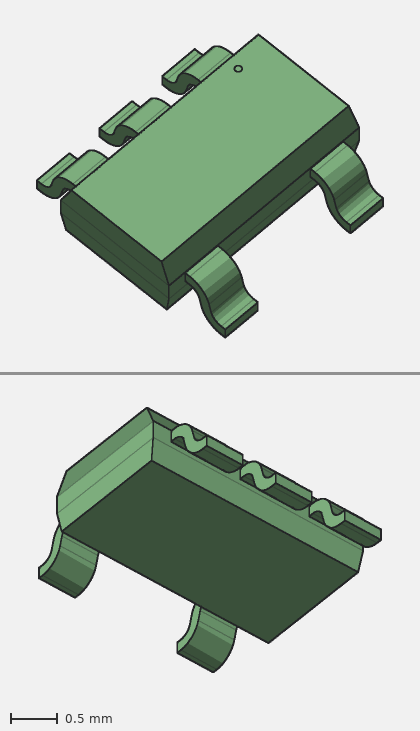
import cadquery as cq
import math


body_length = 2.9
body_width = 1.61
band_bottom_z = 0.38
band_top_z = 0.612
body_bottom_z = 0.102
body_top_z = 0.9
top_inset_x = 0.133
bottom_inset_x = 0.055
end_inset_y = 0.023

tip_span = 2.8
lead_width = 0.5
lead_thickness = 0.148
lead_height = 0.6
lead_pitch = 0.955
flat_length = 0.065
left_lead_rows = (-1, 0, 1)
right_lead_rows = (-1, 1)

marker_diameter = 0.08
marker_depth = 0.02
marker_x = -0.51
marker_y = lead_pitch

bend_z = lead_height / 2
outer_radius = bend_z
inner_radius = outer_radius - lead_thickness
shoulder_x = body_width / 2 + flat_length
foot_x = tip_span / 2 - flat_length
shank_tilt = math.acos((outer_radius + inner_radius) / (foot_x - shoulder_x))


def frustum(start_z, end_z, inset_x, inset_y):
    """Tapered block from the full body outline at start_z to an inset outline at end_z."""
    return (
        cq.Workplane("XY", origin=(0, 0, start_z))
        .rect(body_width, body_length)
        .workplane(offset=end_z - start_z)
        .rect(body_width - 2 * inset_x, body_length - 2 * inset_y)
        .loft(ruled=True)
    )


def make_marker():
    return (
        cq.Workplane("XY", origin=(marker_x, marker_y, body_top_z - marker_depth))
        .circle(marker_diameter / 2)
        .extrude(marker_depth)
    )


def make_housing():
    band = (
        cq.Workplane("XY", origin=(0, 0, band_bottom_z))
        .rect(body_width, body_length)
        .extrude(band_top_z - band_bottom_z)
    )
    cap = frustum(band_top_z, body_top_z, top_inset_x, end_inset_y)
    base = frustum(band_bottom_z, body_bottom_z, bottom_inset_x, end_inset_y)
    return band.union(cap).union(base).cut(make_marker())


def bend_point(center_x, radius, angle):
    """Point in the XZ plane on a bend, with the angle measured from +X toward +Z."""
    return (center_x + radius * math.cos(angle), bend_z + radius * math.sin(angle))


def make_right_lead(center_y):
    """Gull-wing lead on the +X side: flat shoulder, bend down, shank, bend out, flat foot."""
    shoulder_end = shank_tilt
    shoulder_mid = (math.pi / 2 + shoulder_end) / 2
    foot_start = math.pi + shank_tilt
    foot_mid = (foot_start + 3 * math.pi / 2) / 2
    return (
        cq.Workplane("XZ", origin=(0, center_y, 0))
        .moveTo(body_width / 2, lead_height)
        .lineTo(shoulder_x, lead_height)
        .threePointArc(
            bend_point(shoulder_x, outer_radius, shoulder_mid),
            bend_point(shoulder_x, outer_radius, shoulder_end),
        )
        .lineTo(*bend_point(foot_x, inner_radius, foot_start))
        .threePointArc(
            bend_point(foot_x, inner_radius, foot_mid),
            (foot_x, lead_thickness),
        )
        .lineTo(tip_span / 2, lead_thickness)
        .lineTo(tip_span / 2, 0)
        .lineTo(foot_x, 0)
        .threePointArc(
            bend_point(foot_x, outer_radius, foot_mid),
            bend_point(foot_x, outer_radius, foot_start),
        )
        .lineTo(*bend_point(shoulder_x, inner_radius, shoulder_end))
        .threePointArc(
            bend_point(shoulder_x, inner_radius, shoulder_mid),
            (shoulder_x, lead_height - lead_thickness),
        )
        .lineTo(body_width / 2, lead_height - lead_thickness)
        .close()
        .extrude(lead_width / 2, both=True)
    )


def make_left_lead(center_y):
    """The same lead mirrored to the -X side."""
    return make_right_lead(center_y).mirror("YZ")


housing = make_housing()
marker = make_marker()
left_leads = [make_left_lead(row * lead_pitch).val() for row in left_lead_rows]
right_leads = [make_right_lead(row * lead_pitch).val() for row in right_lead_rows]

result = cq.Compound.makeCompound([housing.val(), marker.val(), *left_leads, *right_leads])